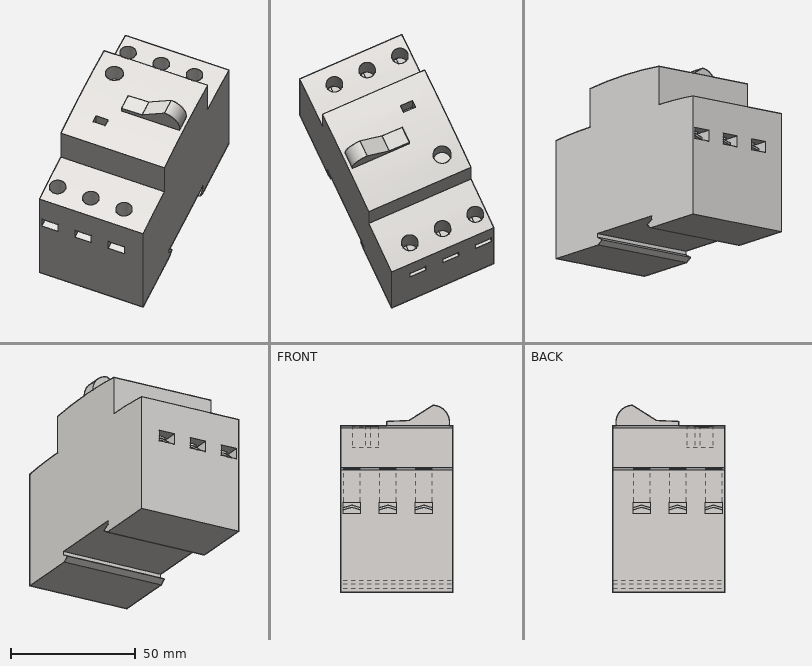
import cadquery as cq

width = 45.0
length = 89.0
split_height = 41.7
left_side = -width / 2
half_length = length / 2

slot_depth = 4.8
slot_half_width = 17.5
hook_top = 3.3
hook_tip_half_gap = 14.5
hook_tip_height = 1.6
hook_foot_half_gap = 17.1

tower_half_length = 22.4
tower_crown = 66.8
shoulder_crown = 49.9
crown_drop = 1.0
crown_radius = (tower_half_length ** 2 + crown_drop ** 2) / (2 * crown_drop)

pole_pitch = 14.4
first_pole_x = left_side + 4.5
pole_positions = [first_pole_x + i * pole_pitch for i in range(3)]
screw_hole_diameter = 6.6
screw_hole_y = 36.5

window_width = 7.0
window_bottom = 31.5
window_height = 4.5
window_top = window_bottom + window_height
window_depth = 2 * (half_length - screw_hole_y)
plate_setback = 4.3
plate_thickness = 0.9
plate_ridge = 35.0
plate_rise = 1.1

recess_depth = 8.9
button_diameter = 7.2
button_x = left_side + 8.45
button_y = 13.0
indicator_length = 5.25
indicator_width = 3.0
indicator_x = left_side + 12.55
indicator_y = -11.0

lever_width = 6.9
lever_left = left_side + 18.4
lever_right = left_side + 43.6
lever_knee = (left_side + 27.4, 68.9)
lever_peak = (left_side + 37.1, 75.0)
lever_arc_middle = (left_side + 41.65, 73.0)
lever_tail_height = 68.5
lever_bottom = tower_crown


def extrude_across_width(outline):
    """Turn a YZ outline into a prism over the full width."""
    return outline.extrude(width / 2, both=True)


def rail_slot():
    right_edge = [
        (hook_foot_half_gap, 0),
        (hook_tip_half_gap, hook_tip_height),
        (slot_half_width, hook_top),
        (slot_half_width, slot_depth),
    ]
    left_edge = [(-y, z) for y, z in reversed(right_edge)]
    return extrude_across_width(cq.Workplane("YZ").polyline(right_edge + left_edge).close())


def clamp_plate(x):
    """Roof-shaped plate spanning a window pocket from its setback to the back wall (-Y end)."""
    eaves = plate_ridge - plate_rise
    half = window_width / 2
    outline = [
        (x - half, eaves),
        (x, plate_ridge),
        (x + half, eaves),
        (x + half, eaves - plate_thickness),
        (x, plate_ridge - plate_thickness),
        (x - half, eaves - plate_thickness),
    ]
    return (
        cq.Workplane("XZ", origin=(0, plate_setback - half_length, 0))
        .polyline(outline).close()
        .extrude(plate_setback - window_depth)
    )


def terminal_cavity(x):
    """Wire window around its clamp plate, at the -Y end."""
    window = cq.Workplane("XY").box(
        window_width, window_depth, window_height, centered=(True, False, False)
    ).translate((x, -half_length, window_bottom))
    return window.cut(clamp_plate(x))


def screw_holes():
    """Vertical screw holes from the window ceilings up through the cover."""
    centres = [(x, side * screw_hole_y) for x in pole_positions for side in (-1, 1)]
    return (
        cq.Workplane("XY", origin=(0, 0, window_top))
        .pushPoints(centres)
        .circle(screw_hole_diameter / 2)
        .extrude(tower_crown - window_top)
    )


def base_block():
    base = cq.Workplane("XY").box(width, length, split_height, centered=(True, True, False))
    base = base.cut(rail_slot())
    for x in pole_positions:
        cavity = terminal_cavity(x)
        base = base.cut(cavity).cut(cavity.mirror("XZ"))
    return base.cut(screw_holes())


def stepped_block():
    """Stepped top whose shoulders and tower top are shallow arcs of one radius."""
    shoulder_edge = shoulder_crown - crown_drop
    tower_edge = tower_crown - crown_drop
    outline = (
        cq.Workplane("YZ")
        .moveTo(-half_length, split_height)
        .lineTo(half_length, split_height)
        .lineTo(half_length, shoulder_edge)
        .radiusArc((tower_half_length, shoulder_crown), -crown_radius)
        .lineTo(tower_half_length, tower_edge)
        .threePointArc((0, tower_crown), (-tower_half_length, tower_edge))
        .lineTo(-tower_half_length, shoulder_crown)
        .radiusArc((-half_length, shoulder_edge), -crown_radius)
        .close()
    )
    return extrude_across_width(outline)


def tower_recesses():
    floor = cq.Workplane("XY", origin=(0, 0, tower_crown - recess_depth))
    button = floor.center(button_x, button_y).circle(button_diameter / 2).extrude(recess_depth)
    indicator = (
        floor.center(indicator_x, indicator_y)
        .rect(indicator_length, indicator_width)
        .extrude(recess_depth)
    )
    return button.union(indicator)


def cover_block():
    return stepped_block().cut(screw_holes()).cut(tower_recesses())


def make_housing():
    """Base and cover fused into one solid, keeping the flush seam line between them."""
    return base_block().union(cover_block(), clean=False)


def make_lever():
    return (
        cq.Workplane("XZ")
        .moveTo(lever_left, lever_bottom)
        .lineTo(lever_left, lever_tail_height)
        .lineTo(*lever_knee)
        .lineTo(*lever_peak)
        .threePointArc(lever_arc_middle, (lever_right, lever_bottom))
        .close()
        .extrude(lever_width / 2, both=True)
    )


housing = make_housing()
lever = make_lever()
result = cq.Compound.makeCompound([housing.solids().val(), lever.solids().val()])